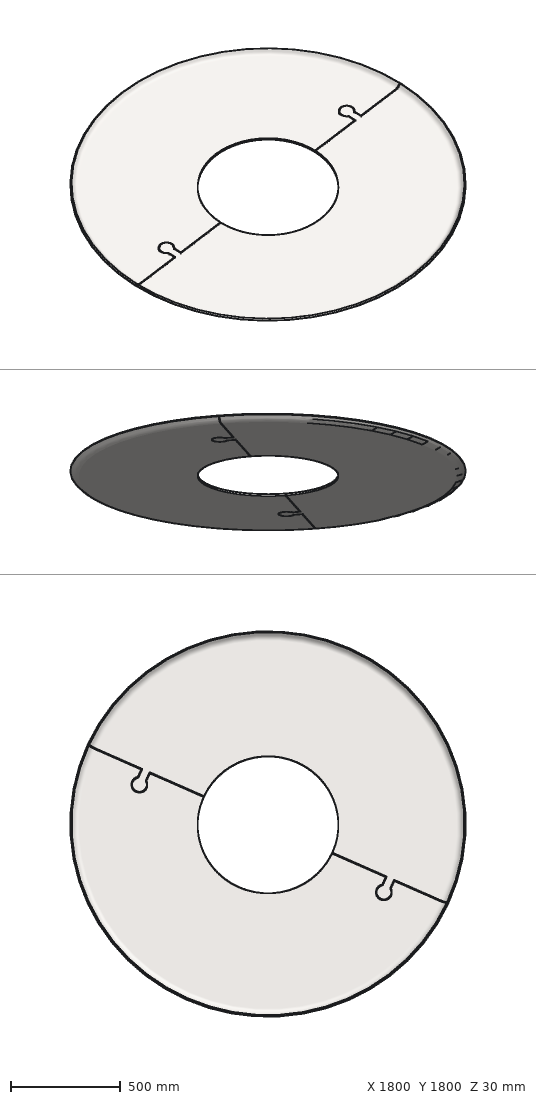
import cadquery as cq
import math

outer_radius = 900.0
bore_radius = 320.0
total_height = 30.0
sheet_thickness = 10.0
rim_angle = math.radians(45.0)
bend_inner_radius = 30.0
bend_outer_radius = bend_inner_radius + sheet_thickness

joint_gap = 3.0
cutter_height = 2 * total_height
web_thickness = 1.0
key_centre_y = (bore_radius + outer_radius) / 2
key_centre_x = -70.0
key_head_radius = 35.0
key_neck_width = 40.0


def bend_point(bend_centre, radius, angle):
    """Point on a bend arc, at an angle measured from straight down."""
    x, z = bend_centre
    return (x + radius * math.sin(angle), z - radius * math.cos(angle))


def dished_ring():
    """Sheet section revolved about Z; the rim ends square to the sheet."""
    lip_z = total_height - sheet_thickness * math.cos(rim_angle)
    crest = (outer_radius - sheet_thickness * math.sin(rim_angle), total_height)
    bend_rise = bend_outer_radius * (1 - math.cos(rim_angle))
    flare_run = (lip_z - bend_rise) / math.tan(rim_angle)
    floor_radius = outer_radius - flare_run - bend_outer_radius * math.sin(rim_angle)
    bend_centre = (floor_radius, bend_outer_radius)

    section = (
        cq.Workplane("XZ")
        .moveTo(bore_radius, 0)
        .lineTo(floor_radius, 0)
        .threePointArc(
            bend_point(bend_centre, bend_outer_radius, rim_angle / 2),
            bend_point(bend_centre, bend_outer_radius, rim_angle),
        )
        .lineTo(outer_radius, lip_z)
        .lineTo(*crest)
        .lineTo(*bend_point(bend_centre, bend_inner_radius, rim_angle))
        .threePointArc(
            bend_point(bend_centre, bend_inner_radius, rim_angle / 2),
            (floor_radius, sheet_thickness),
        )
        .lineTo(bore_radius, sheet_thickness)
        .close()
    )
    return section.revolve(360, (0, 0, 0), (0, 1, 0))


def keyed_half(offset):
    """Prism over the +X half and its two keys, with the joint line moved outward by an offset."""
    base = cq.Workplane("XY").workplane(offset=web_thickness)
    half_width = outer_radius + offset
    half = base.center(half_width / 2 - offset, 0).rect(half_width, 2 * outer_radius).extrude(cutter_height)
    head_radius = key_head_radius + offset
    neck_width = key_neck_width + 2 * offset
    neck_length = 2 * abs(key_centre_x)
    for key_y in (key_centre_y, -key_centre_y):
        head = base.center(key_centre_x, key_y).circle(head_radius).extrude(cutter_height)
        neck = base.center(0, key_y).rect(neck_length, neck_width).extrude(cutter_height)
        half = half.union(head).union(neck)
    return half


def joint_groove():
    """Even gap that follows the joint line around the keys."""
    return keyed_half(joint_gap / 2).cut(keyed_half(-joint_gap / 2))


result = dished_ring().cut(joint_groove())